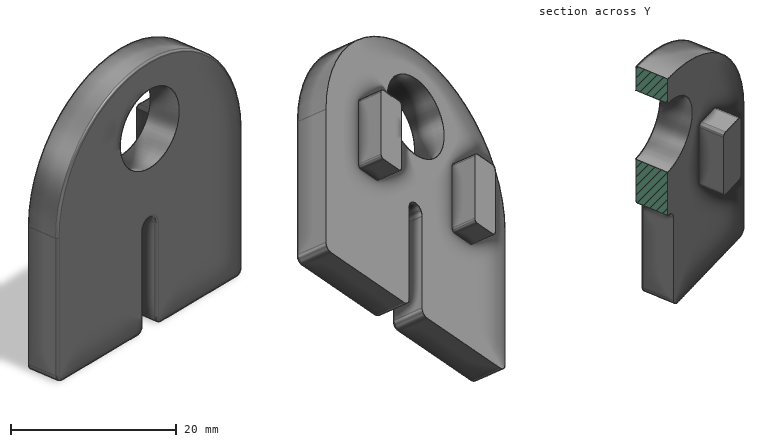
import cadquery as cq

plate_thickness = 4.6
plate_width = 34.5
plate_height = 37.5
arch_radius = plate_width / 2
arch_center_z = plate_height - arch_radius
bottom_corner_radius = 1.0
rim_fillet = 0.3

hole_diameter = 11.0
hole_center_z = 28.0

slot_width = 2.5
slot_top_z = 15.5
slot_radius = slot_width / 2

peg_length = 3.5
peg_width = 3.95
peg_height = 10.0
peg_bottom_z = 15.0
peg_outer_y = 11.0
peg_offset_y = peg_outer_y - peg_width / 2
peg_corner_radius = 0.5


def make_plate():
    """Arched plate with the slot cut into its outline and its +X rim rounded."""
    half_width = plate_width / 2
    slot_center_z = slot_top_z - slot_radius
    plate = (
        cq.Workplane("YZ")
        .moveTo(slot_radius, 0)
        .lineTo(half_width, 0)
        .lineTo(half_width, arch_center_z)
        .threePointArc((0, plate_height), (-half_width, arch_center_z))
        .lineTo(-half_width, 0)
        .lineTo(-slot_radius, 0)
        .lineTo(-slot_radius, slot_center_z)
        .threePointArc((0, slot_top_z), (slot_radius, slot_center_z))
        .lineTo(slot_radius, 0)
        .close()
        .extrude(plate_thickness)
    )
    bottom_corners = plate.faces("<Z").edges("|X")
    rounded = bottom_corners.fillet(bottom_corner_radius)
    return rounded.faces(">X").edges().fillet(rim_fillet)


def make_hole():
    return (
        cq.Workplane("YZ")
        .center(0, hole_center_z)
        .circle(hole_diameter / 2)
        .extrude(plate_thickness)
    )


def make_peg(center_y):
    """Peg standing out from the -X face, with its four long edges rounded."""
    return (
        cq.Workplane("YZ")
        .center(center_y, peg_bottom_z + peg_height / 2)
        .rect(peg_width, peg_height)
        .extrude(-peg_length)
        .edges("|X")
        .fillet(peg_corner_radius)
    )


result = make_plate().cut(make_hole())
for side in (-1, 1):
    result = result.union(make_peg(side * peg_offset_y))